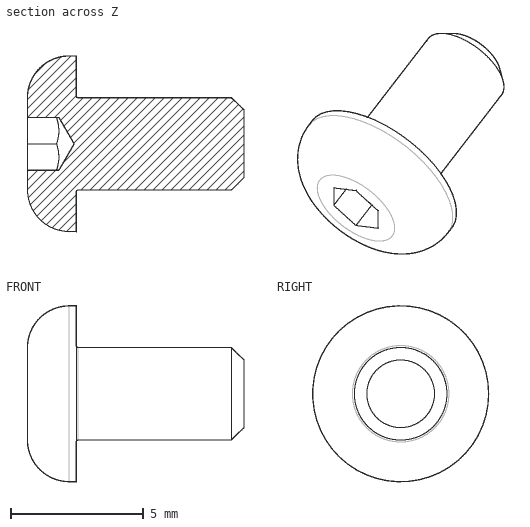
import cadquery as cq
import math

length = 8.2
head_diameter = 6.66
head_height = 1.85
rim_height = 0.27
face_diameter = 3.46
shank_diameter = 3.5
neck_fillet = 0.07
tip_length = 0.48
tip_diameter = 2.56
socket_width = 1.985
socket_depth = 1.11
drill_angle = 120.0

head_radius = head_diameter / 2
face_radius = face_diameter / 2
shank_radius = shank_diameter / 2
tip_radius = tip_diameter / 2
dome_height = head_height - rim_height
dome_width = head_radius - face_radius
diagonal = math.sqrt(0.5)


def screw_body():
    """Revolve the half profile of head, neck fillet, shank and tapered tip."""
    dome_middle = (
        dome_height * (1 - diagonal),
        face_radius + dome_width * diagonal,
    )
    fillet_middle = (
        head_height + neck_fillet * (1 - diagonal),
        shank_radius + neck_fillet * (1 - diagonal),
    )
    profile = (
        cq.Workplane("XY")
        .lineTo(0, face_radius)
        .threePointArc(dome_middle, (dome_height, head_radius))
        .lineTo(head_height, head_radius)
        .lineTo(head_height, shank_radius + neck_fillet)
        .threePointArc(fillet_middle, (head_height + neck_fillet, shank_radius))
        .lineTo(length - tip_length, shank_radius)
        .lineTo(length, tip_radius)
        .lineTo(length, 0)
        .close()
    )
    return profile.revolve(360, (0, 0, 0), (1, 0, 0))


def hex_socket():
    """Hexagonal prism with corners up and down, ending in a drill-point cone."""
    corner_radius = socket_width / math.sqrt(3)
    cone_depth = corner_radius / math.tan(math.radians(drill_angle / 2))
    prism_length = socket_depth + cone_depth
    prism = (
        cq.Workplane("YZ")
        .polygon(6, 2 * corner_radius)
        .extrude(prism_length)
        .rotate((0, 0, 0), (1, 0, 0), 30)
    )
    drill = (
        cq.Workplane("XY")
        .lineTo(0, corner_radius)
        .lineTo(socket_depth, corner_radius)
        .lineTo(prism_length, 0)
        .close()
        .revolve(360, (0, 0, 0), (1, 0, 0))
    )
    return prism.intersect(drill)


result = screw_body().cut(hex_socket())